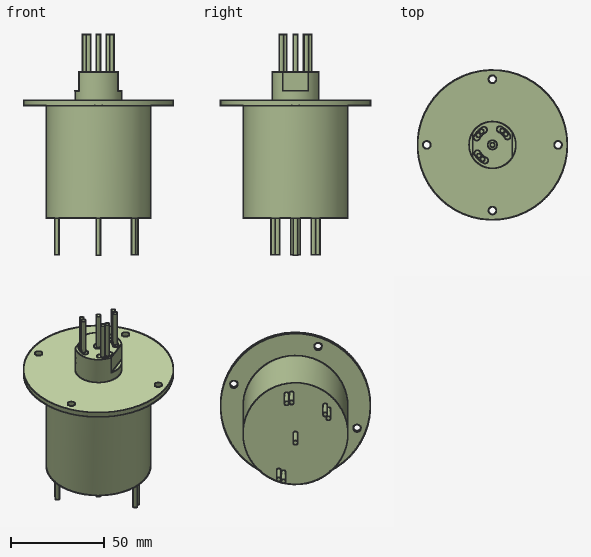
import cadquery as cq
import math

flange_diameter = 80.0
flange_thickness = 3.0
body_diameter = 56.0
body_length = 60.0
boss_diameter = 25.0
boss_height = 15.0
flat_width = 21.0
flat_height = 10.0

mount_hole_diameter = 4.0
mount_circle_diameter = 70.0
mount_hole_count = 4

overall_length = 117.8
center_wire_diameter = 2.5
pair_wire_diameter = 2.4
upper_pair_spacing = 2.6
lower_pair_spacing = 2.7
upper_wire_length = 20
lower_pair_length = 19.7
upper_pair_radius = 9.2
upper_pair_angles = (47, 137, 227)
lower_pair_radius = 22.1
lower_pair_angles = (-29, 29, 180)

outlet_depth = 0.1
slot_sweep = 36
slot_width = 3.2
center_hole_diameter = 5.0

boss_top = flange_thickness + boss_height
outlet_floor = boss_top - outlet_depth
wire_top = boss_top + upper_wire_length
center_wire_bottom = wire_top - overall_length
lower_pair_bottom = -body_length - lower_pair_length


def cylinder(diameter, bottom, top, x=0, y=0):
    """Vertical cylinder between two heights."""
    return cq.Workplane("XY", origin=(x, y, bottom)).circle(diameter / 2).extrude(top - bottom)


def polar_point(radius, angle):
    """XY point at a radius and an angle in degrees."""
    turn = math.radians(angle)
    return radius * math.cos(turn), radius * math.sin(turn)


def wire_pair(radius, angle, spacing, bottom, top):
    """Two wires on a circle around the axis, side by side at the given angle."""
    half_angle = math.degrees(math.asin(spacing / 2 / radius))
    wires = []
    for wire_angle in (angle - half_angle, angle + half_angle):
        x, y = polar_point(radius, wire_angle)
        wires.append(cylinder(pair_wire_diameter, bottom, top, x, y))
    return wires


def boss():
    """Round boss with two parallel flats on its upper part."""
    round_boss = cylinder(boss_diameter, 0, boss_top)
    flat_floor = boss_top - flat_height
    lower_part = cylinder(boss_diameter, 0, flat_floor)
    flatted_part = round_boss.intersect(
        cq.Workplane("XY").box(flat_width, boss_diameter, boss_top, centered=(True, True, False))
    )
    return lower_part.union(flatted_part)


def outlet_slot(angle):
    """Shallow round-ended slot, curved around the axis, for one upper wire pair."""
    inner_radius = upper_pair_radius - slot_width / 2
    outer_radius = upper_pair_radius + slot_width / 2
    start = angle - slot_sweep / 2
    end = angle + slot_sweep / 2
    slot = (
        cq.Workplane("XY", origin=(0, 0, outlet_floor))
        .moveTo(*polar_point(inner_radius, start))
        .threePointArc(polar_point(inner_radius, angle), polar_point(inner_radius, end))
        .lineTo(*polar_point(outer_radius, end))
        .threePointArc(polar_point(outer_radius, angle), polar_point(outer_radius, start))
        .close()
        .extrude(outlet_depth)
    )
    for end_angle in (start, end):
        x, y = polar_point(upper_pair_radius, end_angle)
        slot = slot.union(cylinder(slot_width, outlet_floor, boss_top, x, y))
    return slot


result = cylinder(body_diameter, -body_length, 0)
result = result.union(cylinder(flange_diameter, 0, flange_thickness))
result = result.union(boss())

for index in range(mount_hole_count):
    x, y = polar_point(mount_circle_diameter / 2, index * 360 / mount_hole_count)
    result = result.cut(cylinder(mount_hole_diameter, 0, flange_thickness, x, y))

result = result.cut(cylinder(center_hole_diameter, outlet_floor, boss_top))
for angle in upper_pair_angles:
    result = result.cut(outlet_slot(angle))

result = result.union(cylinder(center_wire_diameter, center_wire_bottom, wire_top))
for angle in upper_pair_angles:
    for wire in wire_pair(upper_pair_radius, angle, upper_pair_spacing, outlet_floor, wire_top):
        result = result.union(wire)
for angle in lower_pair_angles:
    for wire in wire_pair(lower_pair_radius, angle, lower_pair_spacing, lower_pair_bottom, -body_length):
        result = result.union(wire)